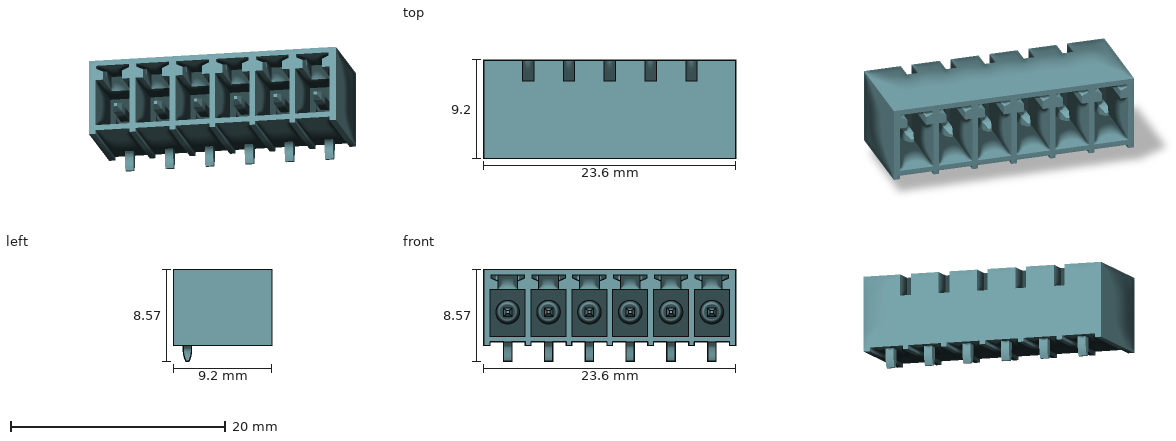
import cadquery as cq
import math

pole_count = 6
pitch = 3.81
pole_positions = [(i - (pole_count - 1) / 2) * pitch for i in range(pole_count)]
gap_positions = [(left + right) / 2 for left, right in zip(pole_positions, pole_positions[1:])]

housing_length = 23.55
housing_depth = 9.2
housing_height = 7.1
foot_height = 0.35
floor_thickness = 0.5
roof_thickness = 0.5

pocket_width = 3.27
pocket_height = 4.37
back_wall = 2.4
pocket_depth = housing_depth - back_wall
pocket_bottom = foot_height + floor_thickness
pocket_top = pocket_bottom + pocket_height

slot_width = 1.85
slot_depth = 4.0
slot_top = housing_height - roof_thickness
wing_span = 3.12
wing_depth = 2.0
wing_edge_height = 0.3
wing_slope_drop = 0.28

notch_width = 1.06
notch_depth = 1.93
notch_height = 2.0

wire = 0.8
pin_axis_height = 3.12
pin_tip_y = 1.35
leg_setback = 1.3
leg_axis_y = housing_depth - leg_setback
point_length = 1.0
point_width = 0.3
leg_length = 1.47
leg_straight = 0.37
leg_tip_width = 0.3

collar_base_radius = 1.1
collar_top_radius = 0.87
collar_height = 1.0
collar_rounding = 0.22


def box(x_center, width, y_range, z_range):
    """Box centred on x_center in X, between the given limits in Y and Z."""
    y_start, y_end = y_range
    z_start, z_end = z_range
    return cq.Workplane("XY").box(
        width, y_end - y_start, z_end - z_start, centered=(True, False, False)
    ).translate((x_center, y_start, z_start))


def make_wings(x):
    """Widening of the latch slot under the roof, with a sloped floor at either side."""
    edge_z = slot_top - wing_edge_height
    inner_z = edge_z - wing_slope_drop
    return (
        cq.Workplane("XZ")
        .polyline([
            (x - wing_span / 2, slot_top),
            (x + wing_span / 2, slot_top),
            (x + wing_span / 2, edge_z),
            (x + slot_width / 2, inner_z),
            (x - slot_width / 2, inner_z),
            (x - wing_span / 2, edge_z),
        ])
        .close()
        .extrude(-wing_depth)
    )


def make_collar(x):
    """Cone frustum with a rounded rim, pointing out of the pocket."""
    collar = cq.Solid.makeCone(
        collar_base_radius,
        collar_top_radius,
        collar_height,
        pnt=cq.Vector(x, pocket_depth, pin_axis_height),
        dir=cq.Vector(0, -1, 0),
    )
    return cq.Workplane(collar).faces("<Y").edges().fillet(collar_rounding)


def taper_middle():
    """Point halfway along the taper arc that is tangent to the straight leg."""
    inset = (wire - leg_tip_width) / 2
    drop = leg_length - leg_straight
    radius = (inset**2 + drop**2) / (2 * inset)
    half_angle = math.asin(drop / radius) / 2
    return (
        wire / 2 - radius * (1 - math.cos(half_angle)),
        -leg_straight - radius * math.sin(half_angle),
    )


def make_pin(x):
    """L-shaped pin with a pyramid point at the front and a rounded taper below."""
    half = wire / 2
    axis_z = pin_axis_height
    leg_top_z = axis_z + half
    contact = box(x, wire, (pin_tip_y + point_length, leg_axis_y + half), (axis_z - half, leg_top_z))
    point = (
        cq.Workplane("XZ", origin=(x, pin_tip_y, axis_z))
        .rect(point_width, point_width)
        .workplane(offset=-point_length)
        .rect(wire, wire)
        .loft()
    )

    middle_y, middle_z = taper_middle()
    half_tip = leg_tip_width / 2
    leg = (
        cq.Workplane("YZ", origin=(x - half, leg_axis_y, 0))
        .moveTo(-half, leg_top_z)
        .lineTo(-half, -leg_straight)
        .threePointArc((-middle_y, middle_z), (-half_tip, -leg_length))
        .lineTo(half_tip, -leg_length)
        .threePointArc((middle_y, middle_z), (half, -leg_straight))
        .lineTo(half, leg_top_z)
        .close()
        .extrude(wire)
    )
    return contact.union(point).union(leg)


def make_housing(pins):
    """Row of pockets with feet below, notches behind and a hole for every pin."""
    housing = box(0, housing_length, (0, housing_depth), (0, housing_height))
    for x in pole_positions:
        foot_gap = box(x, pocket_width, (0, housing_depth), (0, foot_height))
        pocket = box(x, pocket_width, (0, pocket_depth), (pocket_bottom, pocket_top))
        slot = box(x, slot_width, (0, slot_depth), (pocket_top, slot_top))
        housing = housing.cut(foot_gap).cut(pocket).cut(slot).cut(make_wings(x))
        housing = housing.union(make_collar(x))
    for x in gap_positions:
        notch = box(
            x,
            notch_width,
            (housing_depth - notch_depth, housing_depth),
            (housing_height - notch_height, housing_height),
        )
        housing = housing.cut(notch)
    for pin in pins:
        housing = housing.cut(pin)
    return housing


pins = [make_pin(x) for x in pole_positions]
housing = make_housing(pins)

result = cq.Compound.makeCompound([housing.val(), *[pin.val() for pin in pins]])